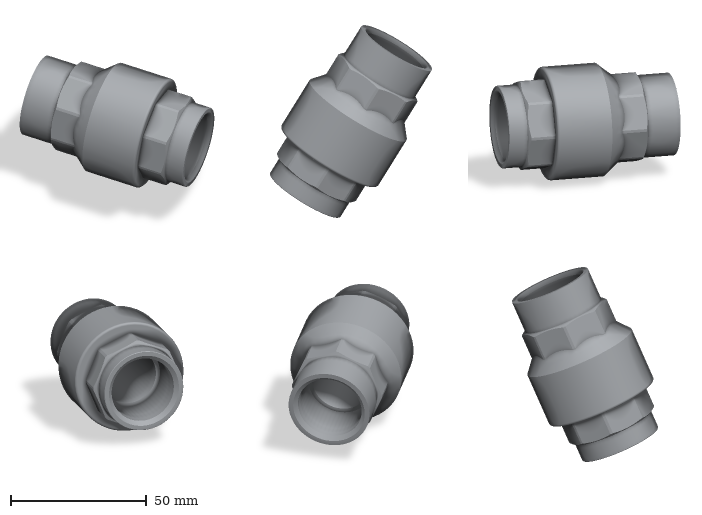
import cadquery as cq
import math

total_length = 65.0
tube_radius = 15.3
end_chamfer = 0.2

barrel_radius = 21.0
barrel_start = 27.35
barrel_end = 48.0
barrel_fillet = 0.9
cone_angle = 39.5

collar_start = 12.2
collar_end = 58.05
collar_sides = 8
across_flats = 31.85
collar_corner_radius = 17.0
collar_chamfer_angle = 30.0

bore_radius = 10.45
socket_radius = 12.0
socket_mouth_radius = 13.5
socket_depth = 18.2
mouth_chamfer = socket_mouth_radius - socket_radius


def revolve_about_x(points):
    """Turn a closed (x, radius) outline about the X axis."""
    return cq.Workplane("XY").polyline(points).close().revolve(360, (0, 0, 0), (1, 0, 0))


def make_tube():
    tube = cq.Workplane("YZ").circle(tube_radius).extrude(total_length)
    return tube.faces(">X").chamfer(end_chamfer)


def make_barrel():
    cone_length = (barrel_radius - tube_radius) / math.tan(math.radians(cone_angle))
    barrel = revolve_about_x([
        (barrel_start - cone_length, 0),
        (barrel_start - cone_length, tube_radius),
        (barrel_start, barrel_radius),
        (barrel_end, barrel_radius),
        (barrel_end, 0),
    ])
    return barrel.faces(">X").edges().fillet(barrel_fillet)


def make_collars():
    """One octagonal bar through the barrel, with rounded corners and coned ends."""
    half_side_angle = math.pi / collar_sides
    across_corners = across_flats / math.cos(half_side_angle)
    octagon = (
        cq.Workplane("YZ", origin=(collar_start, 0, 0))
        .polygon(collar_sides, across_corners)
        .extrude(collar_end - collar_start)
    )
    chamfer_length = (collar_corner_radius - tube_radius) * math.tan(math.radians(collar_chamfer_angle))
    envelope = revolve_about_x([
        (collar_start, 0),
        (collar_start, tube_radius),
        (collar_start + chamfer_length, collar_corner_radius),
        (collar_end - chamfer_length, collar_corner_radius),
        (collar_end, tube_radius),
        (collar_end, 0),
    ])
    return octagon.intersect(envelope)


def make_bore():
    """Through bore with a chamfered socket at each end."""
    return revolve_about_x([
        (0, 0),
        (0, socket_mouth_radius),
        (mouth_chamfer, socket_radius),
        (socket_depth, socket_radius),
        (socket_depth, bore_radius),
        (total_length - socket_depth, bore_radius),
        (total_length - socket_depth, socket_radius),
        (total_length - mouth_chamfer, socket_radius),
        (total_length, socket_mouth_radius),
        (total_length, 0),
    ])


result = make_tube().union(make_barrel()).union(make_collars()).cut(make_bore())